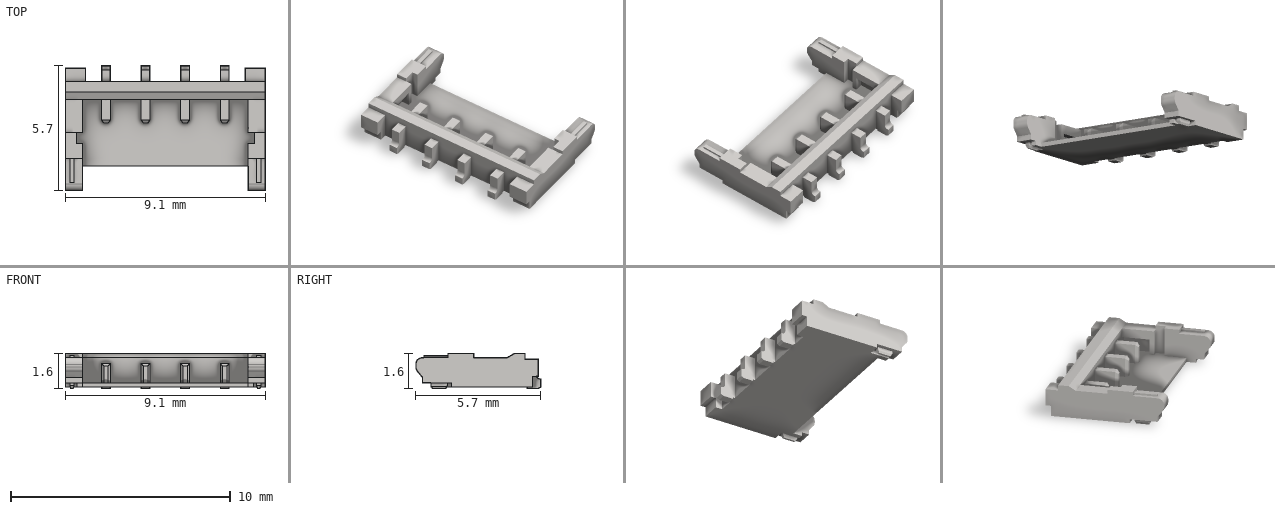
import cadquery as cq
import math


body_width = 9.1
half_width = body_width / 2
wall_back = 4.98
crest_front = 4.49
cavity_back = 4.16
body_top = 1.53
side_top = 1.34
floor_front = 1.12
floor_height = 0.19

arm_width = 0.78
arm_toe = 0.3
nose_radius = 0.3
nose_flat_bottom = 0.91
nose_chin = (0.06, 0.73)
nose_chin_mid = (0.02, 0.81)
chin_bottom = 0.44
block_front = 1.465
block_back = 2.65
relief_back = 1.62
relief_front = 0.68
relief_width = 0.54

notch_front = 2.16
notch_inset = 0.5
pocket_front = 2.86
pocket_inset = 0.42
pocket_top = 0.92

ear_width = 0.92
ear_back = 5.58
ear_bottom = 0.49
ear_top = 1.27
ear_root_back = 5.31

rib_inset = 0.2
rib_width = 0.19
rib_front = 0.37
rib_height = 0.09
peg_front = relief_front
peg_back = 1.45
peg_bottom = -0.07
peg_end_bevel = 0.08
peg_end_bevel_top = 0.08
peg_side_bevel = 0.05
peg_side_bevel_top = 0.03

pin_count = 4
pin_pitch = 1.8
pin_width = 0.4
pin_front = 3.08
pin_top = 1.08
pin_rear_top = 1.165
pin_back = 5.5
tail_back = 5.7
tail_top = 0.37
tail_fillet = 0.16
foot_front = 5.07
foot_bottom = peg_bottom
foot_chamfer_length = 0.13
tip_length = 0.14
tip_drop = 0.13
tip_inset = 0.1


def quarter_arc_inset(radius):
    """Distance from the corner of a rounded right angle to the arc's midpoint, along either side."""
    return radius * (1 - math.sqrt(0.5))


def box(x0, x1, y0, y1, z0, z1):
    """Box between two opposite corners."""
    return cq.Workplane("XY").box(x1 - x0, y1 - y0, z1 - z0, centered=False).translate((x0, y0, z0))


def side_profile(x_start):
    """Sketch plane with Y to the right and Z up, at the given X."""
    return cq.Workplane("YZ", origin=(x_start, 0, 0))


def make_pin_wall():
    """Full-width rear wall with a sloping front edge on its crest."""
    outline = [
        (cavity_back, 0), (wall_back, 0), (wall_back, body_top),
        (crest_front, body_top), (cavity_back, side_top),
    ]
    return side_profile(-half_width).polyline(outline).close().extrude(body_width)


def peg_outline(plane, start, end, bevel, bevel_top):
    """Outline of a peg: upright sides ending in a bevel at the bottom."""
    return plane.polyline([
        (start, floor_height), (start, bevel_top), (start + bevel, peg_bottom),
        (end - bevel, peg_bottom), (end, bevel_top), (end, floor_height),
    ]).close()


def make_peg(left, right):
    """Peg under an arm, bevelled on all four sides."""
    lengthwise = peg_outline(
        side_profile(left), peg_front, peg_back, peg_end_bevel, peg_end_bevel_top
    ).extrude(right - left)
    crosswise = peg_outline(
        cq.Workplane("XZ", origin=(0, peg_back, 0)), left, right, peg_side_bevel, peg_side_bevel_top
    ).extrude(peg_back - peg_front)
    return lengthwise.intersect(crosswise)


def make_arm():
    """Left arm with its rounded nose, raised block, ear, recesses, rib and peg."""
    left = -half_width
    inner = left + arm_width
    nose_top = side_top - nose_radius
    nose_bend = quarter_arc_inset(nose_radius)
    arm = (
        side_profile(left)
        .moveTo(wall_back, 0)
        .lineTo(wall_back, side_top)
        .lineTo(block_back, side_top)
        .lineTo(block_back, body_top)
        .lineTo(block_front, body_top)
        .lineTo(block_front, side_top)
        .lineTo(nose_radius, side_top)
        .threePointArc((nose_bend, side_top - nose_bend), (0, nose_top))
        .lineTo(0, nose_flat_bottom)
        .threePointArc(nose_chin_mid, nose_chin)
        .lineTo(arm_toe, chin_bottom)
        .lineTo(arm_toe, floor_height)
        .lineTo(relief_front, floor_height)
        .lineTo(relief_front, 0)
        .close()
        .extrude(arm_width)
    )
    arm = arm.cut(box(left, left + relief_width, relief_front, relief_back, 0, floor_height))
    arm = arm.cut(box(left + notch_inset, inner, notch_front, block_back, floor_height, body_top))
    arm = arm.cut(box(left + pocket_inset, inner, pocket_front, cavity_back, floor_height, pocket_top))

    ear = box(left, left + ear_width, wall_back, ear_back, ear_bottom, ear_top)
    ear_root = box(left, left + ear_width, wall_back, ear_root_back, 0, ear_bottom)
    rib_left = left + rib_inset
    rib_right = rib_left + rib_width
    rib = box(rib_left, rib_right, rib_front, block_front, side_top, side_top + rib_height)
    return arm.union(ear).union(ear_root).union(rib).union(make_peg(rib_left, rib_right))


def make_pin(x_centre):
    """Pin with a tapered tip in the cavity and a solder tail behind the wall."""
    left = x_centre - pin_width / 2
    right = x_centre + pin_width / 2
    fillet_mid = quarter_arc_inset(tail_fillet)
    tip_back = pin_front + tip_length
    bent_strip = (
        side_profile(left)
        .moveTo(pin_front, 0)
        .lineTo(pin_front, pin_top - tip_drop)
        .lineTo(tip_back, pin_top)
        .lineTo(wall_back, pin_top)
        .lineTo(wall_back, pin_rear_top)
        .lineTo(pin_back, pin_rear_top)
        .lineTo(pin_back, tail_top + tail_fillet)
        .threePointArc(
            (pin_back + fillet_mid, tail_top + fillet_mid),
            (pin_back + tail_fillet, tail_top),
        )
        .lineTo(tail_back, tail_top)
        .lineTo(tail_back, 0)
        .lineTo(tail_back - foot_chamfer_length, foot_bottom)
        .lineTo(foot_front, foot_bottom)
        .lineTo(foot_front, 0)
        .close()
        .extrude(pin_width)
    )
    tapered_tip = (
        cq.Workplane("XY", origin=(0, 0, foot_bottom))
        .polyline([
            (left + tip_inset, pin_front), (right - tip_inset, pin_front), (right, tip_back),
            (right, tail_back), (left, tail_back), (left, tip_back),
        ])
        .close()
        .extrude(pin_rear_top - foot_bottom)
    )
    return bent_strip.intersect(tapered_tip)


floor_half = half_width - arm_width
floor = box(-floor_half, floor_half, floor_front, wall_back, 0, floor_height)
left_arm = make_arm()

result = make_pin_wall().union(floor).union(left_arm).union(left_arm.mirror("YZ"))
for index in range(pin_count):
    pin_x = (index - (pin_count - 1) / 2) * pin_pitch
    result = result.union(make_pin(pin_x))